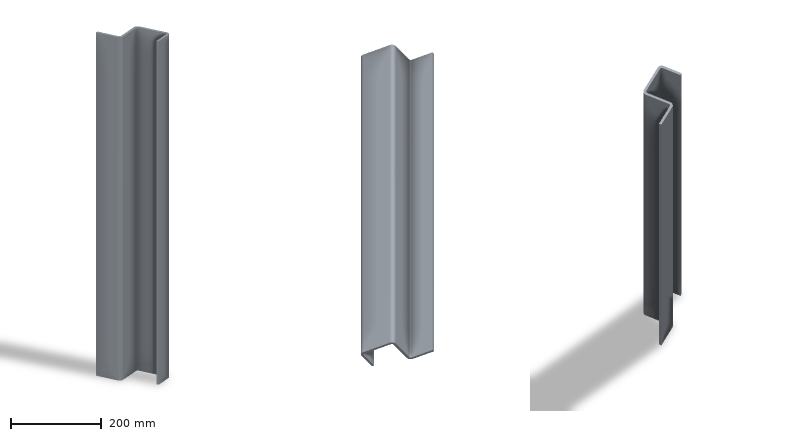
import cadquery as cq

length = 820.0
width = 146.0
depth = 77.0
thickness = 6.0
inner_radius = 4.0
outer_radius = inner_radius + thickness
flange_width = 64.0
lip_depth = 54.0

web_left = flange_width - thickness
lip_left = width - thickness
crown_bottom = depth - thickness
lip_end = depth - lip_depth

profile = [
    (0, 0),
    (flange_width, 0),
    (flange_width, crown_bottom),
    (lip_left, crown_bottom),
    (lip_left, lip_end),
    (width, lip_end),
    (width, depth),
    (web_left, depth),
    (web_left, thickness),
    (0, thickness),
]
sheet = cq.Workplane("XY").polyline(profile).close().extrude(length)


def round_corners(body, corners, radius):
    """Fillet the vertical edges standing at the given profile corners."""
    for x, y in corners:
        edge = cq.selectors.NearestToPointSelector((x, y, length / 2))
        body = body.edges("|Z").edges(edge).fillet(radius)
    return body


outer_corners = [(flange_width, 0), (web_left, depth), (width, depth)]
inner_corners = [
    (web_left, thickness),
    (flange_width, crown_bottom),
    (lip_left, crown_bottom),
]
sheet = round_corners(sheet, outer_corners, outer_radius)
result = round_corners(sheet, inner_corners, inner_radius)